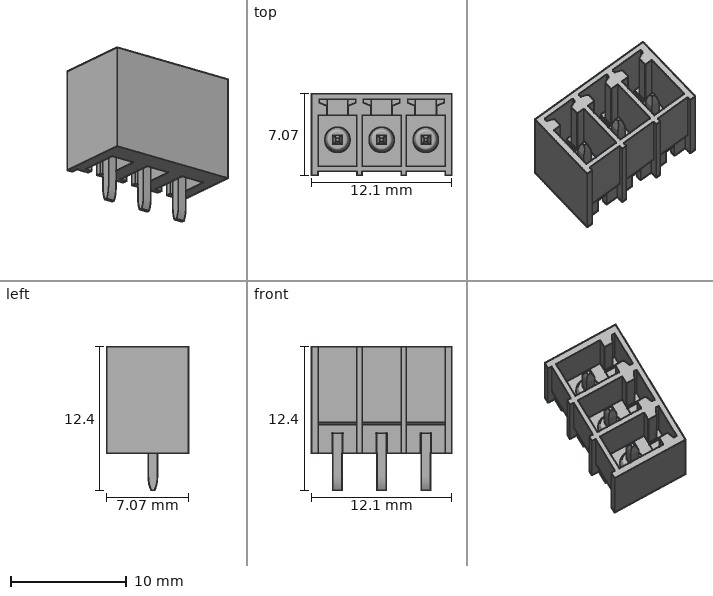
import cadquery as cq


pole_count = 3
pitch = 3.81
pole_x = [(i - (pole_count - 1) / 2) * pitch for i in range(pole_count)]

housing_width = 12.12
housing_depth = 7.07
housing_height = 9.2
back_y = 3.99
front_y = back_y - housing_depth

cavity_width = 3.35
cavity_front_y = -2.28
cavity_back_y = 2.11
floor_z = 3.0

back_wall = 0.49
slot_back_y = back_y - back_wall
slot_width = 3.15
slot_end_height = 0.30
slot_taper_height = 0.26
neck_width = 1.87
neck_chamfer = 0.06
key_groove_width = 1.78
key_groove_depth = 0.5

panel_y = front_y + 0.36
lower_panel_y = front_y + 0.67
ledge_bottom_z = 2.45
ledge_top_z = 2.66

pocket_width = 2.3
skirt_thickness = 0.52
notch_width = 0.94
notch_height = 1.74

boss_base_radius = 1.09
boss_shoulder_radius = 0.90
boss_cone_height = 0.7
boss_rounding = 0.18

pin_width = 0.82
pin_thickness = 0.8
pin_length = 11.06
pin_bottom_z = -3.2
pin_tip_length = 1.12
pin_tip_size = 0.29
pin_top_z = pin_bottom_z + pin_length


def box(width, y_min, y_max, z_min, z_max):
    """Block centred on X = 0, given by its Y and Z limits."""
    size = (width, y_max - y_min, z_max - z_min)
    return cq.Workplane("XY").box(*size, centered=(True, False, False)).translate((0, y_min, z_min))


def front_panel_cut():
    """Space in front of one pole: the lower panel lies deeper, below a sloped ledge."""
    profile = [
        (front_y, 0),
        (lower_panel_y, 0),
        (lower_panel_y, ledge_bottom_z),
        (panel_y, ledge_top_z),
        (panel_y, housing_height),
        (front_y, housing_height),
    ]
    return cq.Workplane("YZ").polyline(profile).close().extrude(cavity_width / 2, both=True)


def coding_slot_cut():
    """T-shaped slot that opens into the cavity through a neck with chamfered corners."""
    end_y = slot_back_y - slot_end_height
    neck_y = end_y - slot_taper_height
    half_slot = slot_width / 2
    half_neck = neck_width / 2
    half_mouth = half_neck + neck_chamfer
    right_side = [
        (half_mouth, cavity_back_y),
        (half_neck, cavity_back_y + neck_chamfer),
        (half_neck, neck_y),
        (half_slot, end_y),
        (half_slot, slot_back_y),
    ]
    left_side = [(-x, y) for x, y in reversed(right_side)]
    outline = cq.Workplane("XY").workplane(offset=floor_z).polyline(right_side + left_side).close()
    return outline.extrude(housing_height - floor_z)


def pole_cut():
    """Everything removed from the housing block for one pole."""
    cavity = box(cavity_width, cavity_front_y, cavity_back_y, floor_z, housing_height)
    key_groove = box(key_groove_width, cavity_back_y, slot_back_y, floor_z - key_groove_depth, floor_z)
    pocket_front_y = lower_panel_y + skirt_thickness
    pocket = box(pocket_width, pocket_front_y, -pocket_front_y, 0, notch_height)
    notch = box(notch_width, lower_panel_y, pocket_front_y, 0, notch_height)
    cut = front_panel_cut().union(cavity).union(coding_slot_cut())
    return cut.union(key_groove).union(pocket).union(notch)


def boss():
    """Steep conical collar with a rounded top edge, standing on the cavity floor."""
    shoulder_z = floor_z + boss_cone_height
    top_z = shoulder_z + boss_rounding
    return (
        cq.Workplane("XZ")
        .moveTo(0, floor_z)
        .lineTo(boss_base_radius, floor_z)
        .lineTo(boss_shoulder_radius, shoulder_z)
        .radiusArc((boss_shoulder_radius - boss_rounding, top_z), -boss_rounding)
        .lineTo(0, top_z)
        .close()
        .revolve(360, (0, 0, 0), (0, 1, 0))
    )


def make_pin():
    """Straight contact: both ends taper in a curve along Y, the top end also tapers flat along X."""
    half_thickness = pin_thickness / 2
    half_width = pin_width / 2
    half_tip = pin_tip_size / 2
    lower_z = pin_bottom_z + pin_tip_length
    upper_z = pin_top_z - pin_tip_length
    tip_inset = half_thickness - half_tip
    tip_radius = (pin_tip_length**2 + tip_inset**2) / (2 * tip_inset)
    side_profile = (
        cq.Workplane("YZ")
        .moveTo(-half_tip, pin_bottom_z)
        .lineTo(half_tip, pin_bottom_z)
        .radiusArc((half_thickness, lower_z), -tip_radius)
        .lineTo(half_thickness, upper_z)
        .radiusArc((half_tip, pin_top_z), -tip_radius)
        .lineTo(-half_tip, pin_top_z)
        .radiusArc((-half_thickness, upper_z), -tip_radius)
        .lineTo(-half_thickness, lower_z)
        .radiusArc((-half_tip, pin_bottom_z), -tip_radius)
        .close()
        .extrude(half_width, both=True)
    )
    front_outline = [
        (-half_width, pin_bottom_z),
        (half_width, pin_bottom_z),
        (half_width, upper_z),
        (half_tip, pin_top_z),
        (-half_tip, pin_top_z),
        (-half_width, upper_z),
    ]
    front_profile = cq.Workplane("XZ").polyline(front_outline).close().extrude(half_thickness, both=True)
    return side_profile.intersect(front_profile)


def make_housing():
    """Housing block with its pole openings, bosses and square pin holes."""
    body = box(housing_width, front_y, back_y, 0, housing_height)
    pin_hole = box(pin_width, -pin_thickness / 2, pin_thickness / 2, 0, housing_height)
    for x in pole_x:
        body = body.cut(pole_cut().translate((x, 0, 0)))
        body = body.union(boss().translate((x, 0, 0)))
        body = body.cut(pin_hole.translate((x, 0, 0)))
    return body


housing = make_housing()
pins = [make_pin().translate((x, 0, 0)) for x in pole_x]

result = cq.Compound.makeCompound([housing.val(), *[pin.val() for pin in pins]])